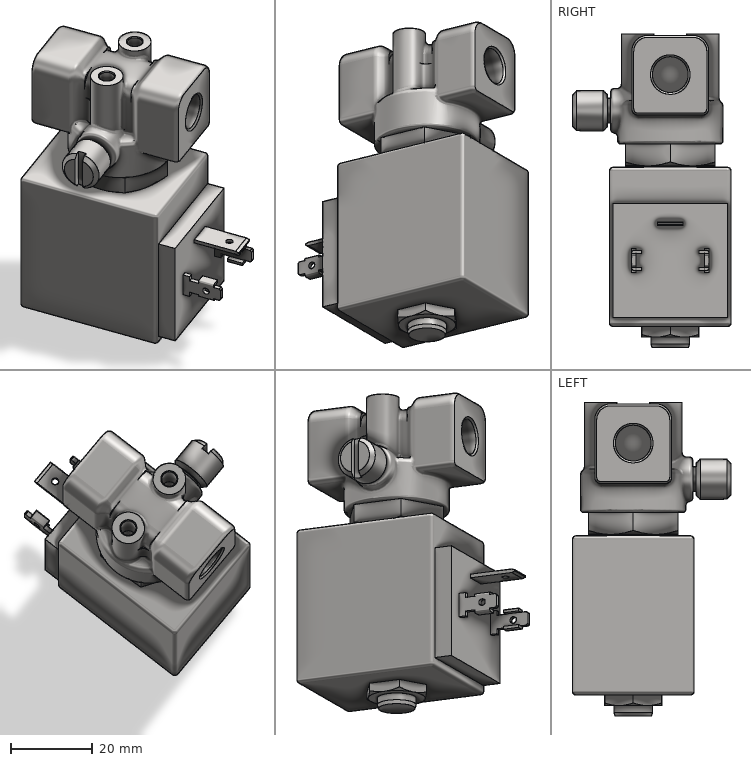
import cadquery as cq
import math


TOLERANCE = 0.01

STUD_TOP = 2.6
NUT_TOP = 5.2
COIL_TOP = 44.5
HEX_BOTTOM = 44.8
BASE_BOTTOM = 50.2
BASE_TOP = 61.0
TOTAL_HEIGHT = 77.4

STUD_RADIUS = 4.8
STUD_CHAMFER_HEIGHT = 0.9
STUD_CHAMFER_INSET = 0.3
NUT_ACROSS_FLATS = 14.1
HEX_ACROSS_FLATS = 22.1
HEX_CHAMFER_ANGLE = 30
WASHER_RADIUS = 6.6

COIL_LEFT = -20.5
COIL_RIGHT = 17
COIL_WIDTH = 30.0
COIL_FILLET = 1.0
BLOCK_RIGHT = 21.5
BLOCK_WIDTH = 28.2
BLOCK_BOTTOM = 7.4
BLOCK_TOP = 35.5

EARTH_TIP = 33.7
EARTH_WIDTH = 6.3
EARTH_CENTRE = 30.6
EARTH_HOLE_X = 29.65
CONTACT_THICKNESS = 0.9
TIP_LENGTH = 0.85
TIP_BEVEL = 0.3
CONTACT_HOLE_RADIUS = 0.85
SIDE_TIP = 31.7
SIDE_OUTER_Y = 9.5
SIDE_THICKNESS = 1.1
SIDE_CENTRE = 21.5
SIDE_WIDTH = 3.5
SIDE_CORNER = 0.4
SHOULDER_RIGHT = 23.3
SHOULDER_WIDTH = 5.95
TAB_LEFT = 25.7
TAB_RIGHT = 29.8
TAB_WIDTH = 4.95
TAB_DEPTH = 2.4
TAB_BEND = 0.6

BASE_RADIUS = 13.0
BASE_TOP_FILLET = 1.55
BASE_BOTTOM_FILLET = 0.8
JOINT_FILLET = 1.0
PORT_END = 20.0
PORT_INNER = 7
PORT_WIDTH = 19.0
PORT_BOTTOM = 57.35
PORT_TOP = 77.0
PORT_TOP_RADIUS = 3.95
PORT_BOTTOM_RADIUS = 1.55
PORT_END_FILLET = 1.5
PORT_END_ROUND = 1.1
CORE_INSET = 2.0
CORE_HALF_WIDTH = PORT_WIDTH / 2 - CORE_INSET
CORE_TOP = PORT_TOP - CORE_INSET
BLEND_RADIUS = 1.55
HALF_BEVEL_ANGLE = math.radians(45) / 2
BLEND_SETBACK = BLEND_RADIUS * math.tan(HALF_BEVEL_ANGLE)
PORT_AXIS = 67.3
PORT_BORE_RADIUS = 4.4
PORT_BORE_CHAMFER = 0.5
PORT_BORE_DEPTH = 10.8

COLUMN_RADIUS = 4.0
COLUMN_OFFSET = 8.05
WEB_FILLET = 2.2
WEB_TOP = 68.5
COLUMN_HOLE_RADIUS = 1.85
COLUMN_HOLE_CHAMFER = 0.2
COLUMN_HOLE_DEPTH = 9.3
DRILL_TIP_ANGLE = 118

SCREW_AXIS = 58.4
BOSS_RADIUS = 5.5
BOSS_FRONT = -14.7
BOSS_FILLET = 0.9
SCREW_NECK_RADIUS = 3.1
HEAD_BACK = -15.5
HEAD_FRONT = -24.15
HEAD_RADIUS = 5.0
HEAD_CHAMFER = 1.1
SLOT_WIDTH = 2.0
SLOT_DEPTH = 1.9


def span_box(x_range, y_range, z_range):
    """Box between two limits on each axis."""
    lows, highs = zip(x_range, y_range, z_range)
    sizes = [high - low for low, high in zip(lows, highs)]
    return cq.Workplane().box(*sizes, centered=False).translate(lows)


def upright_cylinder(radius, bottom, top):
    return cq.Workplane().workplane(offset=bottom).circle(radius).extrude(top - bottom)


def cylinder_along_y(radius, front, back):
    """Cylinder on the screw axis between two Y positions."""
    return cq.Workplane("XZ", origin=(0, back, SCREW_AXIS)).circle(radius).extrude(back - front)


def both_sides(solid, plane):
    """Solid together with its mirror image in a plane through the origin."""
    return solid.union(solid.mirror(plane))


def chamfered_hexagon(across_flats, bottom, top):
    """Hexagon with corners on X whose lower corners are turned off by a cone."""
    corner_radius = across_flats / math.sqrt(3)
    flat_radius = across_flats / 2
    cone_height = (corner_radius - flat_radius) * math.tan(math.radians(HEX_CHAMFER_ANGLE))
    prism = cq.Workplane().workplane(offset=bottom).polygon(6, 2 * corner_radius).extrude(top - bottom)
    envelope = (
        cq.Workplane("XZ")
        .moveTo(0, bottom)
        .lineTo(flat_radius, bottom)
        .lineTo(corner_radius, bottom + cone_height)
        .lineTo(corner_radius, top)
        .lineTo(0, top)
        .close()
        .revolve(360, (0, 0, 0), (0, 1, 0))
    )
    return prism.intersect(envelope)


def coil():
    half_width = COIL_WIDTH / 2
    housing = span_box((COIL_LEFT, COIL_RIGHT), (-half_width, half_width), (NUT_TOP, COIL_TOP))
    housing = housing.edges().fillet(COIL_FILLET)
    block = span_box(
        (COIL_RIGHT - COIL_FILLET, BLOCK_RIGHT),
        (-BLOCK_WIDTH / 2, BLOCK_WIDTH / 2),
        (BLOCK_BOTTOM, BLOCK_TOP),
    )
    return housing.union(block)


def earth_contact():
    """Horizontal blade with a bevelled tip and a hole."""
    half_thickness = CONTACT_THICKNESS / 2
    tip_half_thickness = half_thickness - TIP_BEVEL
    blade = (
        cq.Workplane("XZ", origin=(0, EARTH_WIDTH / 2, EARTH_CENTRE))
        .moveTo(BLOCK_RIGHT, -half_thickness)
        .lineTo(EARTH_TIP - TIP_LENGTH, -half_thickness)
        .lineTo(EARTH_TIP, -tip_half_thickness)
        .lineTo(EARTH_TIP, tip_half_thickness)
        .lineTo(EARTH_TIP - TIP_LENGTH, half_thickness)
        .lineTo(BLOCK_RIGHT, half_thickness)
        .close()
        .extrude(EARTH_WIDTH)
    )
    hole = upright_cylinder(CONTACT_HOLE_RADIUS, EARTH_CENTRE - half_thickness, EARTH_CENTRE + half_thickness)
    return blade.cut(hole.translate((EARTH_HOLE_X, 0, 0)))


def side_contact():
    """Upright blade on the +Y side, with a shoulder and two tabs folded inwards."""
    inner_y = SIDE_OUTER_Y - SIDE_THICKNESS
    tab_y = SIDE_OUTER_Y - TAB_DEPTH

    def z_span(width):
        return SIDE_CENTRE - width / 2, SIDE_CENTRE + width / 2

    blade = span_box((BLOCK_RIGHT, SIDE_TIP), (inner_y, SIDE_OUTER_Y), z_span(SIDE_WIDTH))
    blade = blade.edges("|Y and >X").chamfer(SIDE_CORNER)
    shoulder = span_box((BLOCK_RIGHT, SHOULDER_RIGHT), (inner_y, SIDE_OUTER_Y), z_span(SHOULDER_WIDTH))
    tabs = span_box((TAB_LEFT, TAB_RIGHT), (tab_y, SIDE_OUTER_Y), z_span(TAB_WIDTH))
    tabs = tabs.edges("|X and >Y").fillet(TAB_BEND)
    fold_gap = span_box((TAB_LEFT, TAB_RIGHT), (tab_y, inner_y), z_span(SIDE_WIDTH))
    hole = (
        cq.Workplane("XZ", origin=((TAB_LEFT + TAB_RIGHT) / 2, SIDE_OUTER_Y, SIDE_CENTRE))
        .circle(CONTACT_HOLE_RADIUS)
        .extrude(SIDE_THICKNESS)
    )
    return blade.union(shoulder).union(tabs).cut(fold_gap).cut(hole)


def port_envelope():
    """Rounded bar through both ports; the end faces cut the end fillets short."""
    half_width = PORT_WIDTH / 2
    rounded_end = PORT_END - PORT_END_ROUND + PORT_END_FILLET
    y_range = (-half_width, half_width)
    z_range = (PORT_BOTTOM, PORT_TOP)
    bar = span_box((-rounded_end, rounded_end), y_range, z_range)
    bar = bar.edges("|X and >Z").fillet(PORT_TOP_RADIUS)
    bar = bar.edges("|X and <Z").fillet(PORT_BOTTOM_RADIUS)
    bar = bar.faces("<X or >X").edges().fillet(PORT_END_FILLET)
    return bar.intersect(span_box((-PORT_END, PORT_END), y_range, z_range))


def waist_outline(plane, origin):
    """Closed outline of the waist cut: flat floor, 45 degree bevels and blended bends.

    Its local Y is the distance from the axis of the rounded port corners.
    """
    mid_sag = BLEND_RADIUS * (1 - math.cos(HALF_BEVEL_ANGLE))
    mid_run = BLEND_RADIUS * math.sin(HALF_BEVEL_ANGLE)
    bevel_shift = BLEND_SETBACK * math.sqrt(0.5)
    floor = PORT_TOP_RADIUS - CORE_INSET
    floor_end = PORT_INNER - BLEND_SETBACK
    rim_corner = PORT_INNER + CORE_INSET
    rim_end = rim_corner + BLEND_SETBACK
    bevel_low = (PORT_INNER + bevel_shift, floor + bevel_shift)
    bevel_high = (rim_corner - bevel_shift, PORT_TOP_RADIUS - bevel_shift)
    low_middle = (floor_end + mid_run, floor + mid_sag)
    high_middle = (rim_end - mid_run, PORT_TOP_RADIUS - mid_sag)
    outside = PORT_TOP_RADIUS + CORE_INSET

    def left(point):
        return -point[0], point[1]

    return (
        cq.Workplane(plane, origin=origin)
        .moveTo(-floor_end, floor)
        .lineTo(floor_end, floor)
        .threePointArc(low_middle, bevel_low)
        .lineTo(*bevel_high)
        .threePointArc(high_middle, (rim_end, PORT_TOP_RADIUS))
        .lineTo(rim_end, outside)
        .lineTo(-rim_end, outside)
        .lineTo(-rim_end, PORT_TOP_RADIUS)
        .threePointArc(left(high_middle), left(bevel_high))
        .lineTo(*left(bevel_low))
        .threePointArc(left(low_middle), (-floor_end, floor))
        .close()
    )


def waist_cut():
    """Cut that narrows the bar between the ports, running over the top and down the +Y side."""
    corner_y = PORT_WIDTH / 2 - PORT_TOP_RADIUS
    corner_z = PORT_TOP - PORT_TOP_RADIUS
    corner = (0, corner_y, corner_z)
    over_top = waist_outline("XZ", corner).extrude(corner_y)
    around_corner = waist_outline("XZ", corner).revolve(90, (0, 0, 0), (-1, 0, 0))
    down_side = waist_outline("XY", corner).extrude(PORT_BOTTOM - corner_z)
    return over_top.union(around_corner).union(down_side)


def core_corner_cut():
    """Larger rounding of the core edge on the +Y side, between the bevels."""
    half_length = PORT_INNER - BLEND_SETBACK
    corner_y = CORE_HALF_WIDTH - PORT_TOP_RADIUS
    corner_z = CORE_TOP - PORT_TOP_RADIUS
    corner_block = span_box((-half_length, half_length), (corner_y, CORE_HALF_WIDTH), (corner_z, CORE_TOP))
    kept = (
        cq.Workplane("YZ", origin=(-half_length, corner_y, corner_z))
        .circle(PORT_TOP_RADIUS)
        .extrude(2 * half_length)
    )
    return corner_block.cut(kept)


def column_web():
    """Wide fillet between the core wall and the -X flank of the +Y column."""
    centre_above_wall = WEB_FILLET + CORE_HALF_WIDTH - COLUMN_OFFSET
    reach = COLUMN_RADIUS + WEB_FILLET
    fillet_x = math.sqrt(reach**2 - centre_above_wall**2)
    touch_x = fillet_x * COLUMN_RADIUS / reach
    touch_y = COLUMN_OFFSET + centre_above_wall * COLUMN_RADIUS / reach
    middle_angle = (math.pi / 2 + math.atan2(centre_above_wall, fillet_x)) / 2
    middle_x = fillet_x - WEB_FILLET * math.cos(middle_angle)
    middle_y = CORE_HALF_WIDTH + WEB_FILLET * (1 - math.sin(middle_angle))
    inner_y = COLUMN_OFFSET - COLUMN_RADIUS
    return (
        cq.Workplane()
        .workplane(offset=PORT_BOTTOM)
        .moveTo(0, inner_y)
        .lineTo(-fillet_x, inner_y)
        .lineTo(-fillet_x, CORE_HALF_WIDTH)
        .threePointArc((-middle_x, middle_y), (-touch_x, touch_y))
        .lineTo(0, touch_y)
        .close()
        .extrude(WEB_TOP - PORT_BOTTOM)
    )


def port_bore():
    mouth_radius = PORT_BORE_RADIUS + PORT_BORE_CHAMFER
    return (
        cq.Workplane("XY")
        .moveTo(PORT_END - PORT_BORE_DEPTH, 0)
        .lineTo(PORT_END, 0)
        .lineTo(PORT_END, mouth_radius)
        .lineTo(PORT_END - PORT_BORE_CHAMFER, PORT_BORE_RADIUS)
        .lineTo(PORT_END - PORT_BORE_DEPTH, PORT_BORE_RADIUS)
        .close()
        .revolve(360, (0, 0, 0), (1, 0, 0))
        .translate((0, 0, PORT_AXIS))
    )


def column_hole():
    tip_height = COLUMN_HOLE_RADIUS / math.tan(math.radians(DRILL_TIP_ANGLE / 2))
    bottom = TOTAL_HEIGHT - COLUMN_HOLE_DEPTH
    return (
        cq.Workplane("XZ")
        .moveTo(0, bottom - tip_height)
        .lineTo(COLUMN_HOLE_RADIUS, bottom)
        .lineTo(COLUMN_HOLE_RADIUS, TOTAL_HEIGHT - COLUMN_HOLE_CHAMFER)
        .lineTo(COLUMN_HOLE_RADIUS + COLUMN_HOLE_CHAMFER, TOTAL_HEIGHT)
        .lineTo(0, TOTAL_HEIGHT)
        .close()
        .revolve(360, (0, 0, 0), (0, 1, 0))
    )


def base():
    disc = upright_cylinder(BASE_RADIUS, BASE_BOTTOM, BASE_TOP)
    return disc.edges(">Z").fillet(BASE_TOP_FILLET).edges("<Z").fillet(BASE_BOTTOM_FILLET)


def bridge_on_base():
    """Ports and core on the base, with a fillet all along their common edge."""
    bar = port_envelope().cut(both_sides(waist_cut(), "XZ")).cut(both_sides(core_corner_cut(), "XZ"))
    joined = bar.union(base())
    joint_zone = cq.selectors.BoxSelector(
        (-BASE_RADIUS, -BASE_RADIUS, PORT_BOTTOM - TOLERANCE),
        (BASE_RADIUS, BASE_RADIUS, BASE_TOP + TOLERANCE),
        boundingbox=True,
    )
    rim_bottom = BASE_TOP - BASE_TOP_FILLET - TOLERANCE
    joint_edges = [
        edge
        for edge in joined.edges(joint_zone).vals()
        if edge.geomType() != "CIRCLE" or edge.BoundingBox().zmin < rim_bottom
    ]
    return joined.newObject(joint_edges).fillet(JOINT_FILLET)


def with_boss(body):
    """Body with the boss of the adjusting screw blended into it."""
    joined = body.union(cylinder_along_y(BOSS_RADIUS, BOSS_FRONT, 0))
    joint_zone = cq.selectors.BoxSelector(
        (-BOSS_RADIUS - TOLERANCE, BOSS_FRONT + TOLERANCE, BASE_BOTTOM + BASE_BOTTOM_FILLET + TOLERANCE),
        (BOSS_RADIUS + TOLERANCE, -COLUMN_RADIUS, SCREW_AXIS + BOSS_RADIUS),
        boundingbox=True,
    )
    blended = joined.edges(joint_zone).fillet(JOINT_FILLET)
    return blended.faces("<Y").edges().fillet(BOSS_FILLET)


def with_columns(body):
    """Body with the two mounting columns, filleted where they grow out of it."""
    column = upright_cylinder(COLUMN_RADIUS, PORT_BOTTOM, TOTAL_HEIGHT).translate((0, COLUMN_OFFSET, 0))
    joined = body.union(both_sides(column, "XZ"))
    reach_x = COLUMN_RADIUS + TOLERANCE
    reach_y = COLUMN_OFFSET + COLUMN_RADIUS + TOLERANCE
    joint_zone = cq.selectors.BoxSelector(
        (-reach_x, -reach_y, BASE_TOP - BASE_TOP_FILLET),
        (reach_x, reach_y, TOTAL_HEIGHT - TOLERANCE),
        boundingbox=True,
    )
    return joined.edges(joint_zone).fillet(JOINT_FILLET)


def valve_body():
    body = with_columns(with_boss(bridge_on_base())).union(both_sides(column_web(), "XZ"))
    hole = column_hole().translate((0, COLUMN_OFFSET, 0))
    return body.cut(both_sides(hole, "XZ")).cut(both_sides(port_bore(), "YZ"))


def screw():
    """Slotted adjusting screw standing out of the boss."""
    neck = cylinder_along_y(SCREW_NECK_RADIUS, HEAD_BACK, BOSS_FRONT)
    head = cylinder_along_y(HEAD_RADIUS, HEAD_FRONT, HEAD_BACK).edges().chamfer(HEAD_CHAMFER)
    slot = span_box(
        (-SLOT_WIDTH / 2, SLOT_WIDTH / 2),
        (HEAD_FRONT, HEAD_FRONT + SLOT_DEPTH),
        (SCREW_AXIS - HEAD_RADIUS, SCREW_AXIS + HEAD_RADIUS),
    )
    return neck.union(head.cut(slot))


stud = upright_cylinder(STUD_RADIUS, 0, NUT_TOP)
stud = stud.edges("<Z").chamfer(STUD_CHAMFER_HEIGHT, STUD_CHAMFER_INSET)

result = (
    coil()
    .union(stud)
    .union(chamfered_hexagon(NUT_ACROSS_FLATS, STUD_TOP, NUT_TOP))
    .union(upright_cylinder(WASHER_RADIUS, COIL_TOP, HEX_BOTTOM))
    .union(chamfered_hexagon(HEX_ACROSS_FLATS, HEX_BOTTOM, BASE_BOTTOM))
    .union(valve_body())
    .union(screw())
    .union(earth_contact())
    .union(both_sides(side_contact(), "XZ"))
)